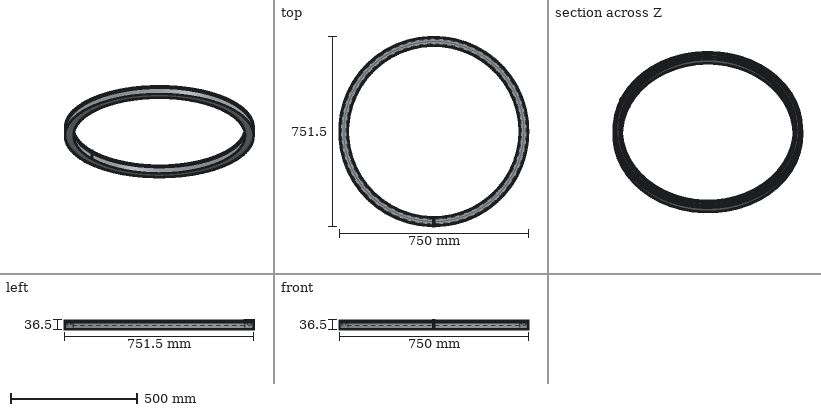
import cadquery as cq

outer_radius = 750.0 / 2
inner_radius = 680.0 / 2
channel_height = 35.0
outer_wall = 1.5
inner_wall = 1.1
floor_thickness = 1.5

cover_top_thickness = 1.1
cover_skirt_thickness = 1.1
cover_skirt_height = 7.15

tube_outer_radius = 733.0 / 2
tube_inner_radius = 697.0 / 2

clip_width = 7.15
clip_thickness = 1.5

cover_outer_radius = outer_radius - outer_wall
cover_inner_radius = inner_radius + inner_wall
cover_underside = channel_height - cover_top_thickness
tube_section_radius = (tube_outer_radius - tube_inner_radius) / 2
tube_ring_radius = (tube_outer_radius + tube_inner_radius) / 2


def ring(inner, outer, bottom, top):
    """Ring of rectangular section about the Z axis."""
    return cq.Workplane("XY").workplane(offset=bottom).circle(outer).circle(inner).extrude(top - bottom)


def make_channel():
    body = ring(inner_radius, outer_radius, 0, channel_height)
    trough = ring(cover_inner_radius, cover_outer_radius, floor_thickness, channel_height)
    return body.cut(trough)


def make_cover():
    body = ring(
        cover_inner_radius, cover_outer_radius, channel_height - cover_skirt_height, channel_height
    )
    hollow = ring(
        cover_inner_radius + cover_skirt_thickness,
        cover_outer_radius - cover_skirt_thickness,
        channel_height - cover_skirt_height,
        cover_underside,
    )
    return body.cut(hollow)


def make_tube():
    center_height = cover_underside - tube_section_radius
    top = (tube_ring_radius, cover_underside)
    bottom = (tube_ring_radius, center_height - tube_section_radius)
    section = (
        cq.Workplane("XZ")
        .moveTo(*top)
        .threePointArc((tube_outer_radius, center_height), bottom)
        .threePointArc((tube_inner_radius, center_height), top)
        .wire()
    )
    return section.revolve(360, (0, 0, 0), (0, 1, 0), clean=False)


def make_clip():
    clip_outer = outer_radius + clip_thickness
    clip_inner = inner_radius - clip_thickness
    block = (
        cq.Workplane("XY")
        .center(0, -(clip_outer + clip_inner) / 2)
        .rect(clip_width, clip_outer - clip_inner)
        .extrude(channel_height + clip_thickness)
    )
    return block.cut(ring(inner_radius, outer_radius, 0, channel_height))


channel = make_channel()
cover = make_cover()
tube = make_tube()
clip = make_clip()

bodies = [channel, cover, tube, clip]
result = cq.Compound.makeCompound([body.solids().val() for body in bodies])